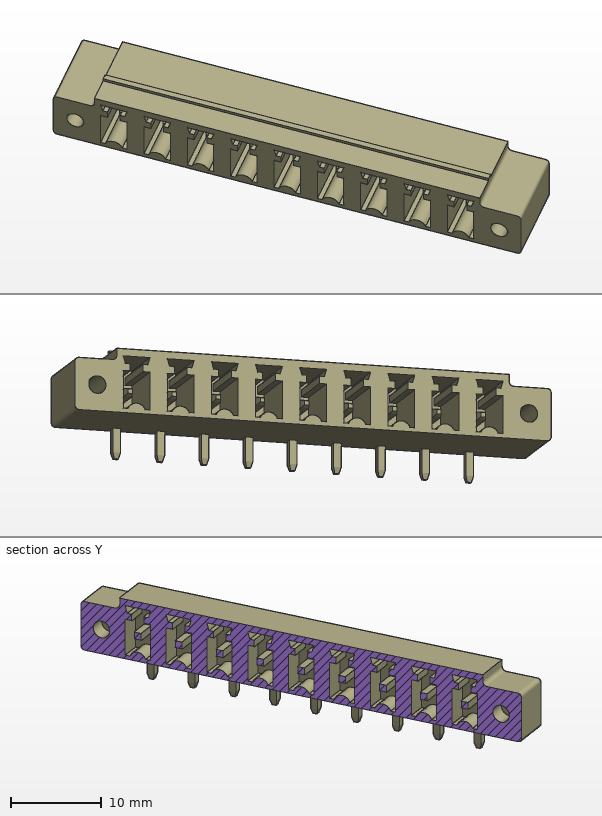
import cadquery as cq


overall_length = 54.85
depth = 9.2
flange_length = 4.8
core_length = overall_length - 2 * flange_length
bottom_z = 3.4
flange_height = 5.9
core_height = 7.25
flange_top_z = bottom_z + flange_height
core_top_z = bottom_z + core_height
corner_radius = 0.5

rib_front_y = 2.85
rib_width = 0.65
rib_height = 0.35

screw_hole_diameter = 2.0
screw_hole_depth = 6.6
screw_hole_end_distance = 2.6
screw_axis_z = bottom_z + flange_height / 2

socket_count = 9
socket_row_span = 40.65
socket_pitch = socket_row_span / (socket_count - 1)
socket_depth = 7.0
socket_width = 3.05
socket_bottom_z = bottom_z + 0.5
neck_bottom_z = bottom_z + 4.75
neck_top_z = bottom_z + 5.6
socket_top_z = bottom_z + 6.4
neck_width = 1.5
dovetail_narrow_width = 2.6
floor_bump_width = 2.0
floor_bump_height = 0.65

pin_size = 0.9
pin_tip_size = 0.5
pin_taper_length = 0.65
pin_tip_recess = 2.5
pin_leg_y = depth - 1.1
contact_axis_z = bottom_z + 3.05


def make_housing():
    """Low bar with a taller core, a rib on top and rounded outer and inner corners."""
    flange_bar = (
        cq.Workplane("XY", origin=(0, 0, bottom_z))
        .box(overall_length, depth, flange_height, centered=(True, False, False))
        .edges("|Y")
        .fillet(corner_radius)
    )
    core = cq.Workplane("XY", origin=(0, 0, bottom_z)).box(
        core_length, depth, core_height, centered=(True, False, False)
    )
    half_core = core_length / 2
    inner_corners = cq.selectors.BoxSelector(
        (-half_core - corner_radius / 2, -corner_radius, flange_top_z - corner_radius / 2),
        (half_core + corner_radius / 2, depth + corner_radius, flange_top_z + corner_radius / 2),
    )
    housing = flange_bar.union(core).edges("|Y").edges(inner_corners).fillet(corner_radius)
    rib = cq.Workplane("XY", origin=(0, rib_front_y, core_top_z)).box(
        core_length, rib_width, rib_height, centered=(True, False, False)
    )
    return housing.union(rib)


def make_screw_hole(x):
    """Blind hole cutter entering a flange from the front."""
    return (
        cq.Workplane("XZ", origin=(x, 0, screw_axis_z))
        .circle(screw_hole_diameter / 2)
        .extrude(-screw_hole_depth)
    )


def make_socket(x):
    """Keyed cavity cutter: wide chamber with an arched floor, narrow neck and dovetail top."""
    half = socket_width / 2
    half_neck = neck_width / 2
    half_dovetail = dovetail_narrow_width / 2
    half_bump = floor_bump_width / 2
    return (
        cq.Workplane("XZ", origin=(x, 0, 0))
        .moveTo(-half, socket_bottom_z)
        .lineTo(-half_bump, socket_bottom_z)
        .threePointArc((0, socket_bottom_z + floor_bump_height), (half_bump, socket_bottom_z))
        .lineTo(half, socket_bottom_z)
        .lineTo(half, neck_bottom_z)
        .lineTo(half_neck, neck_bottom_z)
        .lineTo(half_neck, neck_top_z)
        .lineTo(half_dovetail, neck_top_z)
        .lineTo(half, socket_top_z)
        .lineTo(-half, socket_top_z)
        .lineTo(-half_dovetail, neck_top_z)
        .lineTo(-half_neck, neck_top_z)
        .lineTo(-half_neck, neck_bottom_z)
        .lineTo(-half, neck_bottom_z)
        .close()
        .extrude(-socket_depth)
    )


def make_pin_leg(tip_plane, length):
    """Square bar growing from its tapered tip along the normal of the given plane."""
    tip = (
        cq.Workplane(tip_plane)
        .rect(pin_tip_size, pin_tip_size)
        .workplane(offset=pin_taper_length)
        .rect(pin_size, pin_size)
        .loft(ruled=True)
    )
    bar = (
        cq.Workplane(tip_plane)
        .workplane(offset=pin_taper_length)
        .rect(pin_size, pin_size)
        .extrude(length - pin_taper_length)
    )
    return tip.union(bar)


def make_pin(x):
    """Contact leg inside the socket joined to a solder leg below the housing."""
    contact_tip = cq.Plane(origin=(x, pin_tip_recess, contact_axis_z), xDir=(1, 0, 0), normal=(0, 1, 0))
    solder_tip = cq.Plane(origin=(x, pin_leg_y, 0), xDir=(1, 0, 0), normal=(0, 0, 1))
    contact_leg = make_pin_leg(contact_tip, pin_leg_y + pin_size / 2 - pin_tip_recess)
    solder_leg = make_pin_leg(solder_tip, contact_axis_z + pin_size / 2)
    return contact_leg.union(solder_leg)


result = make_housing()

screw_hole_x = overall_length / 2 - screw_hole_end_distance
for x in (-screw_hole_x, screw_hole_x):
    result = result.cut(make_screw_hole(x))

for index in range(socket_count):
    x = index * socket_pitch - socket_row_span / 2
    result = result.cut(make_socket(x)).union(make_pin(x))